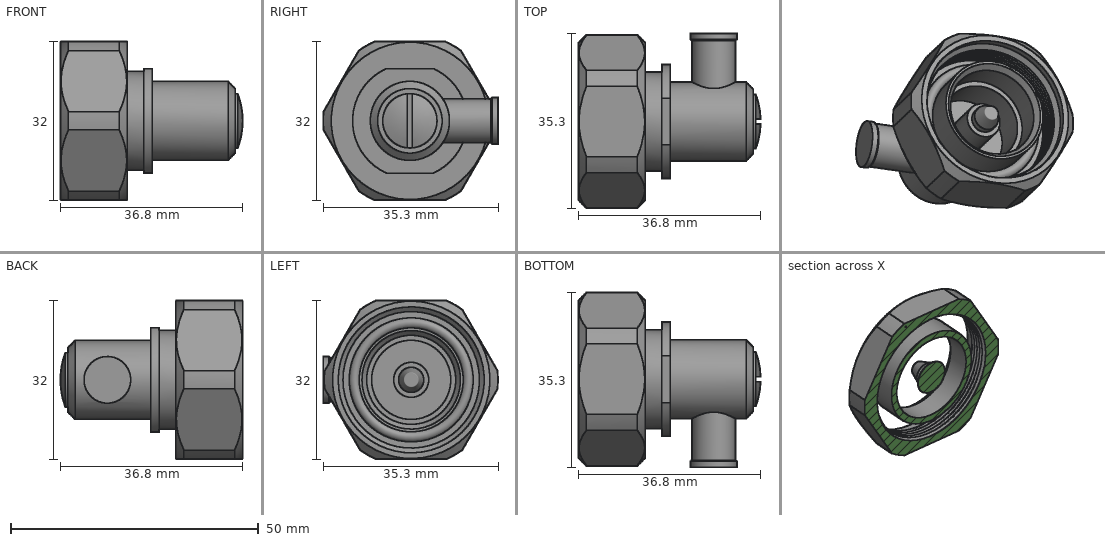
import cadquery as cq
import math


NUT_FLATS = 32.0
NUT_CORNER_RADIUS = 17.5
NUT_LENGTH = 13.55
NUT_CHAMFER = 1.65
NUT_MOUTH_RADIUS = 14.7
NUT_MOUTH_DEPTH = 1.65
THREAD_CREST_RADIUS = 13.75
THREAD_PITCH = 0.8
THREAD_GROOVES = 8
THREAD_DEPTH = THREAD_PITCH / 2 / math.tan(math.radians(30))
THREAD_START = NUT_MOUTH_DEPTH + NUT_MOUTH_RADIUS - THREAD_CREST_RADIUS
THREAD_END = THREAD_START + THREAD_GROOVES * THREAD_PITCH
NUT_FLOOR = THREAD_END

SEAL_TUBE_RADIUS = 1.03
SEAL_OUTER_RADIUS = 12.5
SEAL_PATH_RADIUS = SEAL_OUTER_RADIUS - SEAL_TUBE_RADIUS
SEAL_SEAT = 0.1

FERRULE_RADIUS = 10.5
FERRULE_FRONT = 0.35
FERRULE_LIP_RADIUS = 9.95
FERRULE_BORE_RADIUS = 8.98
FERRULE_TAPER_LENGTH = 1.3
BORE_STEP = 8.15

NECK_RADIUS = 10.0
FLANGE_RADIUS = 11.55
FLANGE_FLATS = 21.08
FLANGE_FRONT = 16.85
FLANGE_BACK = 18.58
BODY_RADIUS = 8.0
BODY_BACK = 35.3
BODY_CHAMFER = 1.47
BORE_FLOOR = FLANGE_FRONT

COLLAR_RADIUS = 3.55
COLLAR_FRONT = 6.45
PIN_RADIUS = 2.55
PIN_TIP_RADIUS = 1.47
PIN_TIP = 2.02
PIN_TAPER_END = 4.9
PIN_TIP_ROUND = 0.15

CAP_RADIUS = 5.5
CAP_RIM_BACK = 35.8
CAP_BACK = 36.8
SLOT_WIDTH = 0.95

PORT_X = 27.3
PORT_END = 17.77
PORT_RADIUS = 4.4
PORT_RIM_RADIUS = 4.7
PORT_RIM_LENGTH = 1.18


def turned(profile):
    """Revolve a closed (x, radius) outline around the X axis."""
    return profile.close().revolve(360, (0, 0, 0), (1, 0, 0))


def rod(x_start, x_end, radius):
    return cq.Workplane("YZ", origin=(x_start, 0, 0)).circle(radius).extrude(x_end - x_start)


def nut():
    corner_diameter = NUT_FLATS / math.cos(math.radians(30))
    hexagon = cq.Workplane("YZ").polygon(6, corner_diameter).extrude(NUT_LENGTH)
    envelope = rod(0, NUT_LENGTH, NUT_CORNER_RADIUS).edges().chamfer(NUT_CHAMFER)
    return hexagon.intersect(envelope).cut(nut_cavity())


def nut_cavity():
    profile = (
        cq.Workplane("XY")
        .lineTo(0, NUT_MOUTH_RADIUS)
        .lineTo(NUT_MOUTH_DEPTH, NUT_MOUTH_RADIUS)
        .lineTo(THREAD_START, THREAD_CREST_RADIUS)
    )
    for groove in range(THREAD_GROOVES):
        groove_start = THREAD_START + groove * THREAD_PITCH
        profile = profile.lineTo(groove_start + THREAD_PITCH / 2, THREAD_CREST_RADIUS + THREAD_DEPTH)
        profile = profile.lineTo(groove_start + THREAD_PITCH, THREAD_CREST_RADIUS)
    return turned(profile.lineTo(NUT_FLOOR, 0))


def seal():
    centre_x = NUT_FLOOR + SEAL_SEAT - SEAL_TUBE_RADIUS
    section = cq.Workplane("XY").center(centre_x, SEAL_PATH_RADIUS).circle(SEAL_TUBE_RADIUS)
    return section.revolve(360, (0, -SEAL_PATH_RADIUS, 0), (1, -SEAL_PATH_RADIUS, 0))


def body():
    ferrule = rod(FERRULE_FRONT, NUT_LENGTH, FERRULE_RADIUS)
    neck = rod(NUT_LENGTH, FLANGE_FRONT, NECK_RADIUS)
    flange_length = FLANGE_BACK - FLANGE_FRONT
    flats = cq.Workplane("XY").box(flange_length, 2 * FLANGE_RADIUS, FLANGE_FLATS)
    flats = flats.translate((FLANGE_FRONT + flange_length / 2, 0, 0))
    flange = rod(FLANGE_FRONT, FLANGE_BACK, FLANGE_RADIUS).intersect(flats)
    barrel = rod(FLANGE_BACK, BODY_BACK, BODY_RADIUS).faces(">X").chamfer(BODY_CHAMFER)
    return ferrule.union(neck).union(flange).union(barrel)


def ferrule_bore():
    return turned(
        cq.Workplane("XY")
        .moveTo(FERRULE_FRONT, 0)
        .lineTo(FERRULE_FRONT, FERRULE_LIP_RADIUS)
        .lineTo(FERRULE_FRONT + FERRULE_TAPER_LENGTH, FERRULE_BORE_RADIUS)
        .lineTo(BORE_STEP, FERRULE_BORE_RADIUS)
        .lineTo(BORE_STEP, BODY_RADIUS)
        .lineTo(BORE_FLOOR, BODY_RADIUS)
        .lineTo(BORE_FLOOR, 0)
    )


def centre_contact():
    contact = turned(
        cq.Workplane("XY")
        .moveTo(PIN_TIP, 0)
        .lineTo(PIN_TIP, PIN_TIP_RADIUS)
        .lineTo(PIN_TAPER_END, PIN_RADIUS)
        .lineTo(COLLAR_FRONT, PIN_RADIUS)
        .lineTo(COLLAR_FRONT, COLLAR_RADIUS)
        .lineTo(BORE_FLOOR, COLLAR_RADIUS)
        .lineTo(BORE_FLOOR, 0)
    )
    return contact.faces("<X").edges().fillet(PIN_TIP_ROUND)


def cap():
    slot_depth = CAP_BACK - CAP_RIM_BACK
    slot_edge = SLOT_WIDTH / 2
    dome_centre = (CAP_BACK + CAP_RIM_BACK) / 2 - (CAP_RADIUS**2 - slot_edge**2) / (2 * slot_depth)
    dome_radius = math.hypot(CAP_BACK - dome_centre, slot_edge)
    half_angle = math.asin(CAP_RADIUS / dome_radius) / 2
    arc_middle = (
        dome_centre + dome_radius * math.cos(half_angle),
        dome_radius * math.sin(half_angle),
    )
    button = turned(
        cq.Workplane("XY")
        .moveTo(BODY_BACK, 0)
        .lineTo(BODY_BACK, CAP_RADIUS)
        .lineTo(CAP_RIM_BACK, CAP_RADIUS)
        .threePointArc(arc_middle, (dome_centre + dome_radius, 0))
    )
    slot = cq.Workplane("XY").box(2 * slot_depth, SLOT_WIDTH, 2 * CAP_RADIUS)
    return button.cut(slot.translate((CAP_RIM_BACK + slot_depth, 0, 0)))


def port():
    rim_step = PORT_RIM_RADIUS - PORT_RADIUS
    rim_front = PORT_END - PORT_RIM_LENGTH
    profile = (
        cq.Workplane("XY", origin=(PORT_X, 0, 0))
        .lineTo(PORT_RADIUS, 0)
        .lineTo(PORT_RADIUS, rim_front - rim_step)
        .lineTo(PORT_RIM_RADIUS, rim_front)
        .lineTo(PORT_RIM_RADIUS, PORT_END)
        .lineTo(0, PORT_END)
    )
    return profile.close().revolve(360, (0, 0, 0), (0, 1, 0))


shell = nut().union(body()).cut(ferrule_bore())
result = shell.union(seal()).union(centre_contact()).union(cap()).union(port())